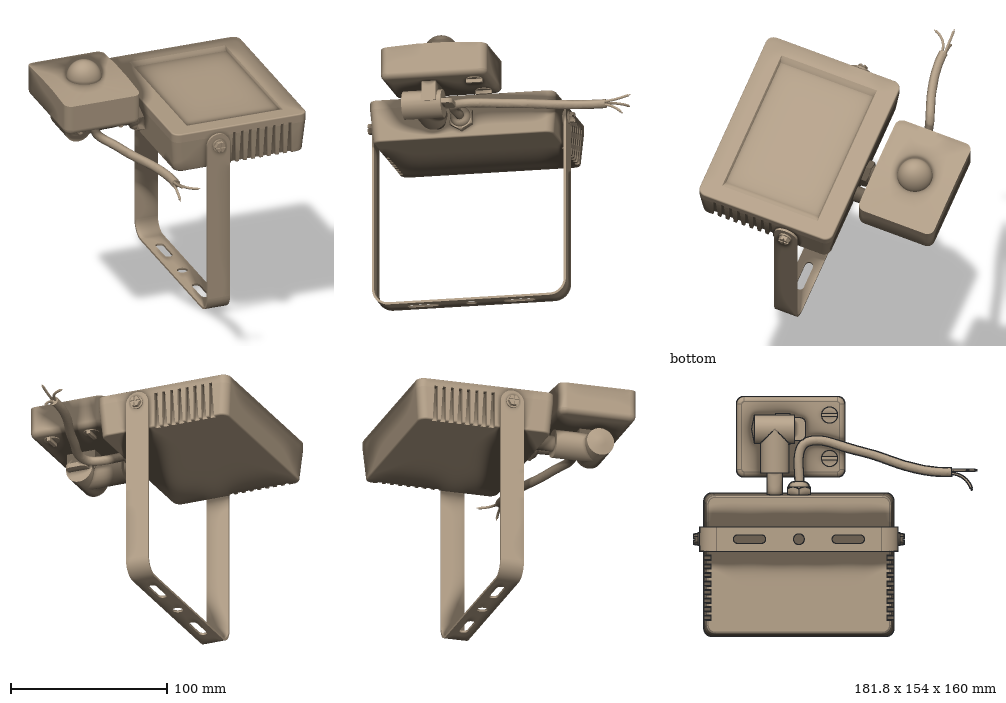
import cadquery as cq
import math


HOUSING_X = 122.0
HOUSING_Y = 92.1
HOUSING_DEPTH = 27.3
HOUSING_CORNER = 5.5
BEZEL_DEPTH = 5.8
WALL_DRAFT = 5.0
FRONT_FILLET = 0.9
BACK_FILLET = 1.0

WINDOW_X = 100.3
WINDOW_Y = 66.0
WINDOW_DEPTH = 1.8
WINDOW_SLOPE_X = 4.2
WINDOW_SLOPE_Y = 1.0

SLOT_COUNT = 8
SLOT_SPAN = 38.3
SLOT_PITCH = SLOT_SPAN / (SLOT_COUNT - 1)
FIRST_SLOT_Y = 34.0
SLOT_TOP_Z = -4.7
SLOT_TOP_WIDTH = 2.2
SLOT_BACK_WIDTH = 3.5
SLOT_DEPTH = 4.5

BRACKET_OUTER_X = 127.2
BRACKET_THICKNESS = 1.5
BRACKET_WIDTH = 15.6
BRACKET_BOTTOM_Z = -130.0
BEND_RADIUS = 10.7
MOUNT_HOLE_DIAMETER = 6.9
MOUNT_SLOT_WIDTH = 5.5
MOUNT_SLOT_LENGTH = 20.7
MOUNT_SLOT_X = 31.6

PIVOT_Y = -16.4
PIVOT_Z = -10.7
SPACER_RADIUS = 4.9
SHANK_RADIUS = 2.5
FLANGE_RADIUS = 4.2
FLANGE_THICKNESS = 1.0
HEAD_ACROSS_FLATS = 6.2
HEAD_END_X = 67.6
CROSS_WIDTH = 1.0
CROSS_DEPTH = 0.9

SENSOR_X = 69.6
SENSOR_Y = 51.8
SENSOR_CENTRE_X = -5.3
SENSOR_CENTRE_Y = -82.0
SENSOR_BOTTOM_Z = -3.6
SENSOR_EDGE_Z = 16.7
SENSOR_CROWN_Z = 18.5
SENSOR_CORNER = 4.9
SENSOR_BOTTOM_FILLET = 3.5
DOME_RADIUS = 11.3
DOME_TOP_Z = 30.0

KNOB_X = 19.6
KNOB_DIAMETER = 10.4
KNOB_DISC_THICKNESS = 0.5
KNOB_HEIGHT = 2.7
KNOB_TAB_THICKNESS = 2.2
KNOB_SPACING = 27.8

ARM_X = -15.5
ARM_Z = -16.4
ARM_STEM_RADIUS = 5.0
KNUCKLE_RADIUS = 9.0
KNUCKLE_NEAR_Y = -58.9
KNUCKLE_Y = -86.9
KNUCKLE_LEFT_X = -28.5
KNUCKLE_RIGHT_X = -2.7
KNUCKLE_CONE = 1.8
GRIP_END_X = 4.2
GRIP_WIDTH = 14.5
GRIP_THICKNESS = 2.9
GRIP_CORNER = 3.3
POST_X = -10.4
POST_SIZE_X = 9.5
POST_SIZE_Y = 19.6

GLAND_Z = -15.0
GLAND_ACROSS_FLATS = 14.9
GLAND_END_Y = -49.6
GLAND_CORNER_CHAMFER = 1.0
GLAND_CAP_RADIUS = 6.7
GLAND_CAP_LENGTH = 3.6

CABLE_RADIUS = 2.9
CABLE_END_X = 97.8
CABLE_END_Y = -59.5
WIRE_RADIUS = 0.82
CORE_RADIUS = 0.4
CORE_LENGTH = 1.42
WIRE_EMBED = 1.8

SIDES = (-1, 1)
INSIDE = 7.3
HOUSING_FRONT_Y = -HOUSING_Y / 2


def x_cylinder(radius, x_start, x_end, y, z):
    return cq.Workplane("YZ", origin=(x_start, y, z)).circle(radius).extrude(x_end - x_start)


def y_cylinder(radius, y_start, y_end, x, z):
    return cq.Workplane("XZ", origin=(x, y_start, z)).circle(radius).extrude(y_start - y_end)


def hexagon(across_flats):
    """Corner points of a hexagon with two corners on the first axis."""
    radius = across_flats / math.sqrt(3)
    angles = [math.radians(60 * i) for i in range(6)]
    return [(radius * math.cos(a), radius * math.sin(a)) for a in angles]


def housing_shell():
    bezel = (
        cq.Workplane("XY")
        .rect(HOUSING_X, HOUSING_Y)
        .extrude(-BEZEL_DEPTH)
        .edges("|Z")
        .fillet(HOUSING_CORNER)
        .faces(">Z")
        .edges()
        .fillet(FRONT_FILLET)
    )
    back = (
        cq.Workplane("XY", origin=(0, 0, -BEZEL_DEPTH))
        .rect(HOUSING_X, HOUSING_Y)
        .extrude(-(HOUSING_DEPTH - BEZEL_DEPTH), taper=WALL_DRAFT)
        .edges("not (<Z or >Z)")
        .fillet(HOUSING_CORNER)
        .faces("<Z")
        .edges()
        .fillet(BACK_FILLET)
    )
    return bezel.union(back)


def window_recess():
    return (
        cq.Workplane("XY")
        .rect(WINDOW_X, WINDOW_Y)
        .workplane(offset=-WINDOW_DEPTH)
        .rect(WINDOW_X - 2 * WINDOW_SLOPE_X, WINDOW_Y - 2 * WINDOW_SLOPE_Y)
        .loft(ruled=True)
    )


def cooling_slot(side, y):
    """Slot that widens towards the back and opens through the back face."""
    floor_x = side * (HOUSING_X / 2 - SLOT_DEPTH)
    half_top = SLOT_TOP_WIDTH / 2
    half_back = SLOT_BACK_WIDTH / 2
    return (
        cq.Workplane("YZ", origin=(floor_x, y, 0))
        .polyline([
            (-half_top, SLOT_TOP_Z),
            (half_top, SLOT_TOP_Z),
            (half_back, -HOUSING_DEPTH),
            (-half_back, -HOUSING_DEPTH),
        ])
        .close()
        .extrude(side * SLOT_DEPTH)
    )


def pivot_screw(side):
    """Spacer, shank, flange and cross-recessed hexagon head on one side."""
    bracket_outer = BRACKET_OUTER_X / 2
    bracket_inner = bracket_outer - BRACKET_THICKNESS
    flange_end = bracket_outer + FLANGE_THICKNESS
    inner_end = HOUSING_X / 2 - INSIDE
    spacer = x_cylinder(SPACER_RADIUS, side * inner_end, side * bracket_inner, PIVOT_Y, PIVOT_Z)
    shank = x_cylinder(SHANK_RADIUS, side * inner_end, side * flange_end, PIVOT_Y, PIVOT_Z)
    flange = x_cylinder(FLANGE_RADIUS, side * bracket_outer, side * flange_end, PIVOT_Y, PIVOT_Z)
    head = (
        cq.Workplane("YZ", origin=(side * flange_end, PIVOT_Y, PIVOT_Z))
        .polyline(hexagon(HEAD_ACROSS_FLATS))
        .close()
        .extrude(side * (HEAD_END_X - flange_end))
    )
    cross_length = 2 * HEAD_ACROSS_FLATS
    cross_plane = cq.Workplane("YZ", origin=(side * HEAD_END_X, PIVOT_Y, PIVOT_Z))
    for size in ((cross_length, CROSS_WIDTH), (CROSS_WIDTH, cross_length)):
        head = head.cut(cross_plane.rect(*size).extrude(-side * CROSS_DEPTH))
    return spacer.union(shank).union(flange).union(head)


def sensor_head():
    half = SENSOR_X / 2
    box = (
        cq.Workplane("XZ", origin=(SENSOR_CENTRE_X, SENSOR_CENTRE_Y + SENSOR_Y / 2, 0))
        .moveTo(-half, SENSOR_BOTTOM_Z)
        .lineTo(half, SENSOR_BOTTOM_Z)
        .lineTo(half, SENSOR_EDGE_Z)
        .threePointArc((0, SENSOR_CROWN_Z), (-half, SENSOR_EDGE_Z))
        .close()
        .extrude(SENSOR_Y)
        .edges("|Z")
        .fillet(SENSOR_CORNER)
        .faces("<Z")
        .edges()
        .fillet(SENSOR_BOTTOM_FILLET)
    )
    dome = cq.Workplane("XY").sphere(DOME_RADIUS)
    dome = dome.translate((SENSOR_CENTRE_X, SENSOR_CENTRE_Y, DOME_TOP_Z - DOME_RADIUS))
    return box.union(dome)


def adjusting_knob(y):
    """Shallow disc with an upright finger tab across it."""
    disc = (
        cq.Workplane("XY", origin=(KNOB_X, y, SENSOR_BOTTOM_Z))
        .circle(KNOB_DIAMETER / 2)
        .extrude(-KNOB_DISC_THICKNESS)
    )
    tab = (
        cq.Workplane("XY", origin=(KNOB_X, y, SENSOR_BOTTOM_Z))
        .rect(KNOB_DIAMETER, KNOB_TAB_THICKNESS)
        .extrude(-KNOB_HEIGHT)
    )
    return disc.union(tab)


def sensor_arm():
    """Stem from the housing, elbow-shaped knuckle with a flat grip, and post up to the sensor."""
    stem = y_cylinder(ARM_STEM_RADIUS, HOUSING_FRONT_Y + INSIDE, KNUCKLE_Y, ARM_X, ARM_Z)
    barrel = y_cylinder(KNUCKLE_RADIUS, KNUCKLE_NEAR_Y, KNUCKLE_Y, ARM_X, ARM_Z)
    pivot = (
        cq.Workplane("XY", origin=(0, KNUCKLE_Y, ARM_Z))
        .moveTo(KNUCKLE_LEFT_X - KNUCKLE_CONE, 0)
        .lineTo(KNUCKLE_LEFT_X, KNUCKLE_RADIUS)
        .lineTo(KNUCKLE_RIGHT_X, KNUCKLE_RADIUS)
        .lineTo(KNUCKLE_RIGHT_X, 0)
        .close()
        .revolve(360, (0, 0, 0), (1, 0, 0))
    )
    post = (
        cq.Workplane("XY", origin=(POST_X, KNUCKLE_Y, ARM_Z))
        .rect(POST_SIZE_X, POST_SIZE_Y)
        .extrude(SENSOR_BOTTOM_Z - ARM_Z)
    )
    grip = (
        cq.Workplane("XY", origin=(0, KNUCKLE_Y, ARM_Z - GRIP_THICKNESS / 2))
        .moveTo((POST_X + GRIP_END_X) / 2, 0)
        .rect(GRIP_END_X - POST_X, GRIP_WIDTH)
        .extrude(GRIP_THICKNESS)
        .edges("|Z and >X")
        .fillet(GRIP_CORNER)
    )
    return stem.union(barrel).union(pivot).union(post).union(grip)


def cable_gland():
    """Hexagon nut with a rounded cap that closes onto the cable."""
    nut_start = HOUSING_FRONT_Y + INSIDE
    nut = (
        cq.Workplane("XZ", origin=(0, nut_start, GLAND_Z))
        .polyline([(z, x) for x, z in hexagon(GLAND_ACROSS_FLATS)])
        .close()
        .extrude(nut_start - GLAND_END_Y)
    )
    corner_radius = GLAND_ACROSS_FLATS / math.sqrt(3)
    turned_blank = (
        y_cylinder(corner_radius, nut_start, GLAND_END_Y, 0, GLAND_Z)
        .faces("<Y")
        .chamfer(GLAND_CORNER_CHAMFER)
    )
    nut = nut.intersect(turned_blank)
    cap_end = GLAND_END_Y - GLAND_CAP_LENGTH
    flat_radius = GLAND_CAP_RADIUS - GLAND_CAP_LENGTH
    arc_offset = GLAND_CAP_LENGTH * math.sqrt(0.5)
    cap = (
        cq.Workplane("XY", origin=(0, 0, GLAND_Z))
        .moveTo(0, GLAND_END_Y)
        .lineTo(GLAND_CAP_RADIUS, GLAND_END_Y)
        .threePointArc(
            (flat_radius + arc_offset, GLAND_END_Y - arc_offset),
            (flat_radius, cap_end),
        )
        .lineTo(0, cap_end)
        .close()
        .revolve(360, (0, 0, 0), (0, 1, 0))
    )
    return nut.union(cap)


def smooth_curve(points):
    return cq.Edge.makeSpline([cq.Vector(*p) for p in points])


def round_strand(curve, radius):
    """Round strand that follows the curve."""
    start_plane = cq.Plane(origin=curve.startPoint(), normal=curve.tangentAt(0))
    path = cq.Workplane(obj=cq.Wire.assembleEdges([curve]))
    return cq.Workplane(start_plane).circle(radius).sweep(path)


def supply_cable():
    """Cable that leaves the gland, bends beside the knuckle and runs out to the right."""
    plan_points = [
        (0, GLAND_END_Y),
        (0, -60.0),
        (0, -70.0),
        (2.9, -77.0),
        (10.0, -79.6),
        (29.6, -75.2),
        (46.2, -70.9),
        (64.0, -64.7),
        (79.5, -60.7),
        (CABLE_END_X, CABLE_END_Y),
    ]
    curve = smooth_curve([(x, y, GLAND_Z) for x, y in plan_points])
    return round_strand(curve, CABLE_RADIUS)


def wire(root_y, root_z, middle_points, end):
    """Insulated wire out of the cable's end, with a bare core at its tip."""
    root = (CABLE_END_X - WIRE_EMBED, root_y, root_z)
    curve = smooth_curve([root, *middle_points, end])
    tip_plane = cq.Plane(origin=end, normal=curve.tangentAt(1))
    core = cq.Workplane(tip_plane).circle(CORE_RADIUS).extrude(CORE_LENGTH, both=True)
    return round_strand(curve, WIRE_RADIUS).union(core)


def cable_wires():
    sideways = wire(
        root_y=-58.2,
        root_z=-14.7,
        middle_points=[(100.9, -58.0, -14.7), (106.5, -54.9, -14.7)],
        end=(110.3, -49.0, -14.7),
    )
    upward = wire(
        root_y=-60.5,
        root_z=-14.2,
        middle_points=[(106.0, -60.5, -12.5)],
        end=(112.7, -60.5, -10.7),
    )
    downward = wire(
        root_y=-60.5,
        root_z=-16.0,
        middle_points=[(102.0, -60.5, -17.5)],
        end=(107.8, -60.5, -21.5),
    )
    return [sideways, upward, downward]


def make_lamp():
    lamp = housing_shell().cut(window_recess())
    for side in SIDES:
        for i in range(SLOT_COUNT):
            lamp = lamp.cut(cooling_slot(side, FIRST_SLOT_Y - i * SLOT_PITCH))
    for side in SIDES:
        lamp = lamp.union(pivot_screw(side))
    lamp = lamp.union(sensor_arm()).union(sensor_head())
    for side in SIDES:
        lamp = lamp.union(adjusting_knob(SENSOR_CENTRE_Y + side * KNOB_SPACING / 2))
    lamp = lamp.union(cable_gland()).union(supply_cable())
    for strand in cable_wires():
        lamp = lamp.union(strand)
    return lamp


def make_bracket():
    """U-shaped strap with round ears on the pivot screws and holes in its base."""
    half_width = BRACKET_WIDTH / 2
    top_z = PIVOT_Z + half_width
    height = top_z - BRACKET_BOTTOM_Z
    inner_x = BRACKET_OUTER_X - 2 * BRACKET_THICKNESS
    strap_plane = cq.Workplane("XZ", origin=(0, PIVOT_Y + half_width, BRACKET_BOTTOM_Z))
    outside = (
        strap_plane.center(0, height / 2)
        .rect(BRACKET_OUTER_X, height)
        .extrude(BRACKET_WIDTH)
        .edges("|Y and <Z")
        .fillet(BEND_RADIUS)
    )
    inside = (
        strap_plane.center(0, BRACKET_THICKNESS + height / 2)
        .rect(inner_x, height)
        .extrude(BRACKET_WIDTH)
        .edges("|Y and <Z")
        .fillet(BEND_RADIUS - BRACKET_THICKNESS)
    )
    side_outline = (
        cq.Workplane("YZ", origin=(-BRACKET_OUTER_X / 2, PIVOT_Y, 0))
        .moveTo(-half_width, BRACKET_BOTTOM_Z)
        .lineTo(half_width, BRACKET_BOTTOM_Z)
        .lineTo(half_width, PIVOT_Z)
        .threePointArc((0, top_z), (-half_width, PIVOT_Z))
        .close()
        .extrude(BRACKET_OUTER_X)
    )
    strap = outside.cut(inside).intersect(side_outline)
    pivot_holes = x_cylinder(SHANK_RADIUS, -BRACKET_OUTER_X / 2, BRACKET_OUTER_X / 2, PIVOT_Y, PIVOT_Z)
    base_plane = cq.Workplane("XY", origin=(0, PIVOT_Y, BRACKET_BOTTOM_Z))
    centre_hole = base_plane.circle(MOUNT_HOLE_DIAMETER / 2).extrude(BRACKET_THICKNESS)
    mount_slots = (
        base_plane.pushPoints([(side * MOUNT_SLOT_X, 0) for side in SIDES])
        .slot2D(MOUNT_SLOT_LENGTH, MOUNT_SLOT_WIDTH)
        .extrude(BRACKET_THICKNESS)
    )
    return strap.cut(pivot_holes).cut(centre_hole).cut(mount_slots)


lamp = make_lamp()
bracket = make_bracket()

result = cq.Compound.makeCompound([*lamp.solids().vals(), *bracket.solids().vals()])